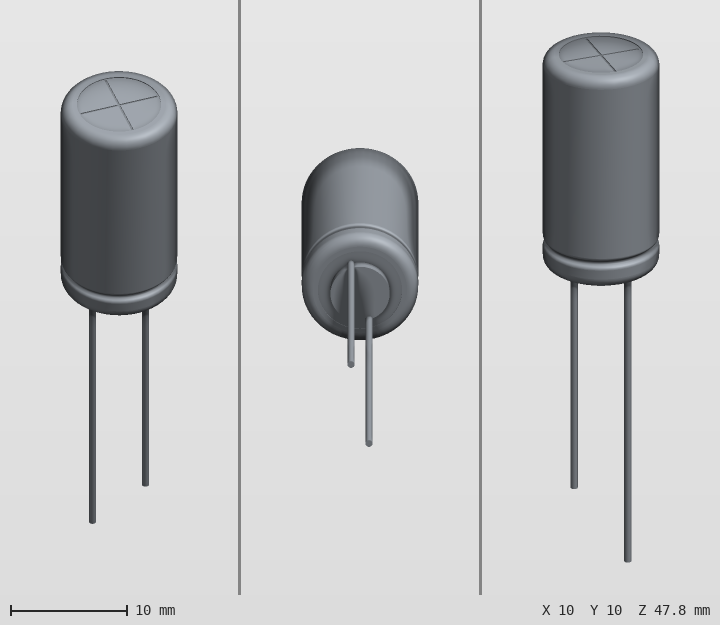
import cadquery as cq
import math


overall_height = 47.8

sleeve_diameter = 10.0
sleeve_height = 20.0
sleeve_thickness = 0.1
sleeve_opening_diameter = 7.2
corner_radius = 0.95

groove_height = 2.35
groove_half_width = 0.55
groove_shoulder_radius = 0.35
groove_valley_radius = 0.2
groove_flank_angle = math.radians(56)

score_length = 6.95
score_width = 0.2
score_depth = 0.1
score_angles = (45, 135)

boss_diameter = 5.05
boss_length = 0.85
lead_diameter = 0.6
lead_pitch = 5.0
lead_length_difference = 6.0
long_lead_end = sleeve_height - overall_height
short_lead_end = long_lead_end + lead_length_difference


def wrapped_body(inset):
    """Solid of revolution of the sleeve's outer shape, moved inward by `inset`."""
    radius = sleeve_diameter / 2 - inset
    bottom = inset
    top = sleeve_height - inset
    rounding = corner_radius - inset
    flat_radius = radius - rounding
    rounding_middle = rounding * math.sin(math.pi / 4)

    shoulder_radius = groove_shoulder_radius - inset
    valley_radius = groove_valley_radius + inset
    arc_radii_sum = groove_shoulder_radius + groove_valley_radius
    flank_length = (
        groove_half_width - arc_radii_sum * math.sin(groove_flank_angle)
    ) / math.cos(groove_flank_angle)
    center_spacing = (
        arc_radii_sum * math.cos(groove_flank_angle) - flank_length * math.sin(groove_flank_angle)
    )
    shoulder_center = sleeve_diameter / 2 - groove_shoulder_radius
    valley_center = shoulder_center + center_spacing

    def shoulder_point(side, angle):
        return (
            shoulder_center + shoulder_radius * math.cos(angle),
            groove_height + side * (groove_half_width - shoulder_radius * math.sin(angle)),
        )

    def valley_point(side, angle):
        return (
            valley_center - valley_radius * math.cos(angle),
            groove_height + side * valley_radius * math.sin(angle),
        )

    outline = (
        cq.Workplane("XZ")
        .moveTo(0, bottom)
        .lineTo(flat_radius, bottom)
        .threePointArc(
            (flat_radius + rounding_middle, bottom + rounding - rounding_middle),
            (radius, bottom + rounding),
        )
        .lineTo(*shoulder_point(-1, 0))
        .threePointArc(
            shoulder_point(-1, groove_flank_angle / 2),
            shoulder_point(-1, groove_flank_angle),
        )
        .lineTo(*valley_point(-1, groove_flank_angle))
        .threePointArc(valley_point(1, 0), valley_point(1, groove_flank_angle))
        .lineTo(*shoulder_point(1, groove_flank_angle))
        .threePointArc(
            shoulder_point(1, groove_flank_angle / 2),
            shoulder_point(1, 0),
        )
        .lineTo(radius, top - rounding)
        .threePointArc(
            (flat_radius + rounding_middle, top - rounding + rounding_middle),
            (flat_radius, top),
        )
        .lineTo(0, top)
        .close()
    )
    return outline.revolve(360, (0, 0, 0), (0, 1, 0))


def cylinder(diameter, bottom, top, x=0):
    """Upright cylinder whose axis stands at `x` on the X axis."""
    return cq.Workplane("XY", origin=(x, 0, bottom)).circle(diameter / 2).extrude(top - bottom)


def make_sleeve():
    openings = cylinder(sleeve_opening_diameter, 0, sleeve_height)
    return wrapped_body(0).cut(wrapped_body(sleeve_thickness)).cut(openings)


def make_can():
    can_bottom = sleeve_thickness
    can_top = sleeve_height - sleeve_thickness
    can = wrapped_body(sleeve_thickness)

    for angle in score_angles:
        score = (
            cq.Workplane("XY", origin=(0, 0, can_top))
            .transformed(rotate=(0, 0, angle))
            .rect(score_length, score_width)
            .extrude(-score_depth)
        )
        can = can.cut(score)

    can = can.union(cylinder(boss_diameter, -boss_length, can_bottom))
    for x, end in ((-lead_pitch / 2, long_lead_end), (lead_pitch / 2, short_lead_end)):
        can = can.union(cylinder(lead_diameter, end, can_bottom, x))
    return can


sleeve = make_sleeve()
can = make_can()

result = cq.Compound.makeCompound([sleeve.val(), can.val()])